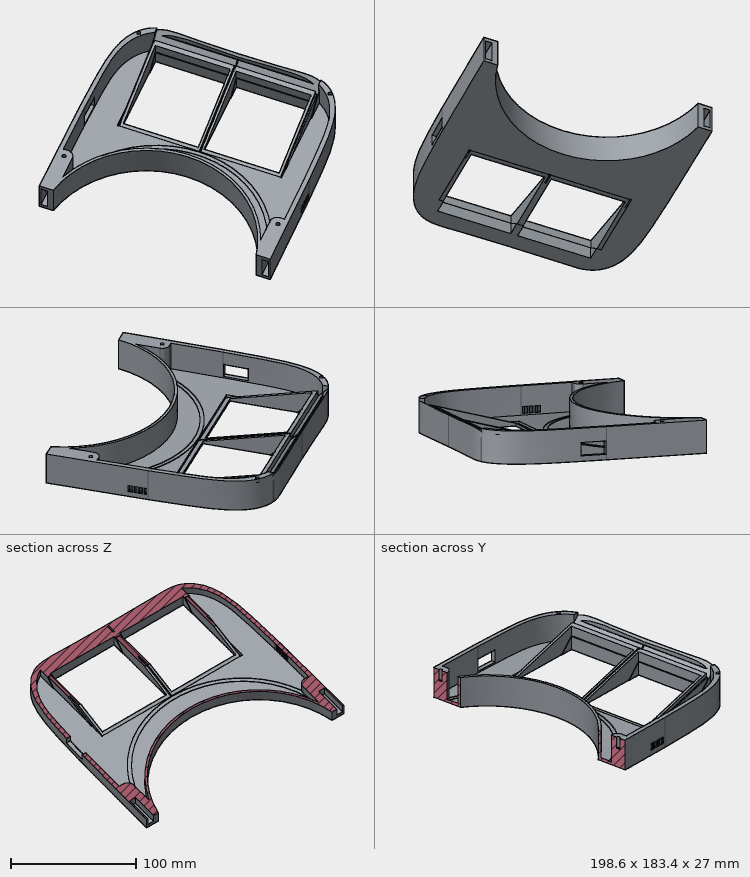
import cadquery as cq
import math

half_width = 99.3
height = 27.0
floor_height = 3.2
back_mid_y = 182.7
back_peak = (-49.6, 183.3)
back_wall = 2.0
side_wall = 4.0

outer_corner = [(-64.5, 182.9), (-74.9, 180.0), (-87.0, 168.8), (-93.5, 153.5), (-97.7, 119.1)]
outer_leg_start = (-98.7, 85.4)
inner_corner = [(-64.5, 179.3), (-80.2, 169.2), (-89.4, 152.9), (-93.7, 119.1)]
inner_leg_start = (-94.7, 85.4)

arc_radius = 89.0
arc_centre_y = -18.0
arc_wall = 2.4
groove_outer_radius = 92.0
groove_inner_radius = 88.5
groove_centre_y = 3.8
groove_depth = 0.4

pad_inner_x = 85.0
pad_end_y = 41.5
pad_radius = 6.0
slot_centre_x = 95.0
slot_width = 5.4
slot_bottom = 3.2
slot_top = 23.2
slot_depth = 23.8
screw_diameter = 3.0
leg_screw = (92.0, 35.1)
leg_screw_depth = 10.0
corner_screw = (82.2, 171.8)
corner_screw_depth = 3.4

port_front_y = 85.8
port_back_y = 106.6
port_bottom = 4.5
port_top = 15.5
vent_count = 6
vent_first_y = 68.5
vent_pitch = 2.8
vent_width = 1.4
vent_bottom = 4.5
vent_top = 10.0

frame_half_width = 70.5
frame_front_y = 96.1
frame_back_y = 173.2
frame_front_z = 1.2
frame_tilt = 15.0
lip_width = 1.2
lip_depth = 3.2
centre_gap = 1.0
ramp_half_width = 71.0
ramp_ridge_y = 179.1
ramp_ridge_z = 22.2
window_inner_x = 2.5
window_outer_x = 67.0
window_front_y = 100.3
window_back_y = 169.2
ramp_window_margin = 0.4

frame_slope = math.tan(math.radians(frame_tilt))
frame_back_z = frame_front_z + (frame_back_y - frame_front_y) * frame_slope
ramp_foot_y = ramp_ridge_y - ramp_ridge_z


def side_outline(middle, peak, corner, leg_start, leg_end_x):
    """Closed outline, symmetric about x = 0, with straight legs down to y = 0."""
    left = [middle, peak, *corner, leg_start]
    right = [(-x, y) for x, y in left]
    lean = leg_start[0] - leg_end_x
    back_tangent = (1, 0)
    return (
        cq.Workplane("XY")
        .moveTo(leg_end_x, 0)
        .lineTo(*leg_start)
        .spline(left[-2::-1], tangents=[(lean, leg_start[1]), back_tangent], includeCurrent=True)
        .spline(right[1:], tangents=[back_tangent, (lean, -leg_start[1])], includeCurrent=True)
        .lineTo(-leg_end_x, 0)
        .close()
    )


def disc(radius, centre_y, depth, base_z=0.0):
    return cq.Workplane("XY", origin=(0, centre_y, base_z)).circle(radius).extrude(depth)


def box(x_range, y_range, z_range):
    size = [high - low for low, high in (x_range, y_range, z_range)]
    corner = (x_range[0], y_range[0], z_range[0])
    return cq.Workplane("XY").box(*size, centered=False).translate(corner)


def prism_across(points, x_half):
    """YZ outline extruded symmetrically along X."""
    return cq.Workplane("YZ").polyline(points).close().extrude(x_half, both=True)


def window_cutters(margin):
    """Both window openings, each side drawn in by the margin."""
    y_range = (window_front_y + margin, window_back_y - margin)
    near = window_inner_x + margin
    far = window_outer_x - margin
    z_range = (-height, 2 * height)
    return box((near, far), y_range, z_range) + box((-far, -near), y_range, z_range)


def make_tray():
    """Floor, surrounding wall and the concave wall that follows the forehead."""
    outer = side_outline((0, back_mid_y), back_peak, outer_corner, outer_leg_start, -half_width)
    inner_mid = (0, back_mid_y - back_wall)
    inner_peak = (back_peak[0], back_peak[1] - back_wall)
    inner = side_outline(
        inner_mid, inner_peak, inner_corner, inner_leg_start, side_wall - half_width
    )
    body = outer.extrude(height)
    hollow = inner.extrude(height - floor_height).translate((0, 0, floor_height))
    hollow = hollow - disc(arc_radius + arc_wall, arc_centre_y, height, floor_height)
    for side in (-1, 1):
        hollow = hollow - leg_pad(side)
    tray = body - hollow - disc(arc_radius, arc_centre_y, height)
    ring = disc(groove_outer_radius, groove_centre_y, groove_depth) - disc(
        groove_inner_radius, groove_centre_y, groove_depth
    )
    ring = ring.translate((0, 0, floor_height - groove_depth))
    return tray - ring.intersect(hollow.translate((0, 0, -groove_depth)))


def leg_pad(side):
    """Solid end of one leg, rounded at its inner back corner."""
    pad = box((pad_inner_x, half_width), (0, pad_end_y), (0, height))
    pad = pad.edges("|Z and >Y and <X").fillet(pad_radius)
    return pad if side > 0 else pad.mirror("YZ")


def make_ramp():
    """45 degree ramp between the floor and the back wall, split on the centre line."""
    ramp = prism_across(
        [
            (ramp_foot_y, 0),
            (ramp_ridge_y, ramp_ridge_z),
            (back_mid_y - back_wall / 2, ramp_ridge_z - (back_mid_y - back_wall / 2 - ramp_ridge_y)),
            (back_mid_y - back_wall / 2, 0),
        ],
        ramp_half_width,
    )
    outer = side_outline((0, back_mid_y), back_peak, outer_corner, outer_leg_start, -half_width)
    split = box(
        (-centre_gap / 2, centre_gap / 2), (frame_back_y, back_mid_y - back_wall), (floor_height, height)
    )
    return ramp.intersect(outer.extrude(height)) - split


def cut_leg_ends(shell):
    for side in (-1, 1):
        slot_x = side * slot_centre_x
        shell = shell - box(
            (slot_x - slot_width / 2, slot_x + slot_width / 2), (0, slot_depth), (slot_bottom, slot_top)
        )
        for (x, y), depth in ((leg_screw, leg_screw_depth), (corner_screw, corner_screw_depth)):
            hole = cq.Workplane("XY", origin=(side * x, y, height - depth))
            shell = shell - hole.circle(screw_diameter / 2).extrude(depth)
    return shell


def cut_side_openings(shell):
    wall_inside = half_width - 2 * side_wall
    shell = shell - box(
        (-half_width, -wall_inside), (port_front_y, port_back_y), (port_bottom, port_top)
    )
    for index in range(vent_count):
        y = vent_first_y + index * vent_pitch
        shell = shell - box((wall_inside, half_width), (y, y + vent_width), (vent_bottom, vent_top))
    return shell


def make_frame():
    """Tilted two-window frame whose sides reach down through the floor and back to the ramp."""
    outline = [
        (frame_front_y, 0),
        (frame_front_y, frame_front_z),
        (frame_back_y, frame_back_z),
        (frame_back_y, frame_back_y - ramp_foot_y),
        (ramp_foot_y, 0),
    ]
    frame = prism_across(outline, frame_half_width)
    top_layer = prism_across(
        [
            (frame_front_y, frame_front_z - lip_depth),
            (frame_front_y, frame_front_z),
            (frame_back_y, frame_back_z),
            (frame_back_y, frame_back_z - lip_depth),
        ],
        frame_half_width,
    )
    gap = box((-centre_gap / 2, centre_gap / 2), (frame_front_y, frame_back_y), (0, height))
    top_core = box(
        (lip_width - frame_half_width, frame_half_width - lip_width),
        (frame_front_y, frame_back_y),
        (-height, height),
    )
    trimmed = top_layer - (top_core - gap)
    return frame - trimmed - window_cutters(0)


def frame_opening():
    """Room in the floor for the frame."""
    outline = [(frame_front_y, 0), (frame_front_y, height), (ramp_foot_y + height, height), (ramp_foot_y, 0)]
    return prism_across(outline, frame_half_width)


frame = make_frame()
shell = make_tray() - frame_opening() + make_ramp()
shell = cut_side_openings(cut_leg_ends(shell)) - window_cutters(ramp_window_margin)

result = cq.Compound.makeCompound([shell.val(), frame.val()])